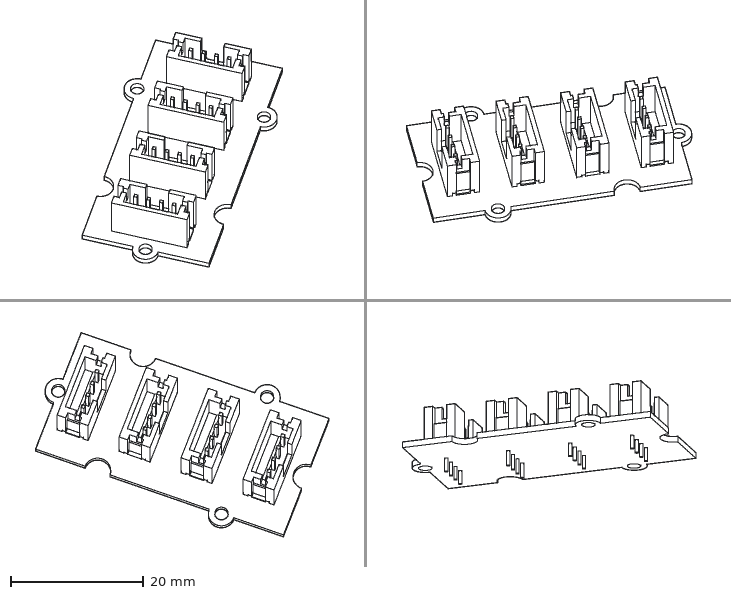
import cadquery as cq

OVERALL_WIDTH = 24.0
OVERALL_LENGTH = 42.0
BOARD_THICKNESS = 0.92
EAR_DIAMETER = 4.0
EAR_HOLE_DIAMETER = 2.0
NOTCH_DIAMETER = EAR_DIAMETER
BOARD_WIDTH = OVERALL_WIDTH - EAR_DIAMETER
BOARD_LENGTH = OVERALL_LENGTH - EAR_DIAMETER / 2
BOARD_BACK = BOARD_LENGTH / 2
GRID = 10.0

HOUSING_WIDTH = 11.93
HOUSING_DEPTH = 5.0
HOUSING_HEIGHT = 6.65
CONNECTOR_COUNT = 4
FIRST_CONNECTOR_INSET = 5.5
SUNK_CONNECTOR = 2
SINK_DEPTH = 0.25

WALL = 0.7
CAVITY_WIDTH = 8.55
CAVITY_DEPTH = HOUSING_DEPTH - 2 * WALL
BACK_FLOOR = 1.5
FLOOR_STEP = 0.55
FRONT_FLOOR = BACK_FLOOR - FLOOR_STEP

SLOT_WIDTH = 3.65
SLOT_FLOOR = 2.0

SIDE_NOTCH_BACK = 1.7
SIDE_NOTCH_FRONT = 2.48
SIDE_NOTCH_DEPTH = 1.9
GROOVE_BACK = 1.4
GROOVE_FRONT = 3.6
GROOVE_INSET = 0.65
UPPER_GROOVE_INSET = 0.9
UPPER_GROOVE_DEPTH = 2.6
UNDERCUT_BACK = 0.8
UNDERCUT_FRONT = 4.2
UNDERCUT_HEIGHT = 0.5
TAB_HEIGHT = 0.25

CONTACT_COUNT = 4
CONTACT_PITCH = 2.0
PIN_SIZE = 0.5
PIN_SETBACK = 1.9
PIN_TOP_GAP = 0.92
LEG_DIAMETER = 0.5
LEG_LENGTH = 3.0


def block(x_range, y_range, z_range):
    """A box given by its lower and upper limits along each axis."""
    (x0, x1), (y0, y1), (z0, z1) = x_range, y_range, z_range
    return cq.Workplane("XY").box(x1 - x0, y1 - y0, z1 - z0, centered=False).translate((x0, y0, z0))


def both_sides(shape):
    """The shape together with its mirror image in the YZ plane."""
    return shape.union(shape.mirror("YZ"))


def board_discs(points, diameter):
    """Upright discs as thick as the board."""
    return (
        cq.Workplane("XY")
        .pushPoints(points)
        .circle(diameter / 2)
        .extrude(-BOARD_THICKNESS)
    )


def make_board():
    side = BOARD_WIDTH / 2
    ear_y = BOARD_BACK - GRID
    notch_y = BOARD_BACK - 3 * GRID
    ear_points = [(-side, ear_y), (side, ear_y), (0, -BOARD_BACK)]
    notch_points = [(-side, notch_y), (side, notch_y), (0, BOARD_BACK)]
    plate = cq.Workplane("XY").rect(BOARD_WIDTH, BOARD_LENGTH).extrude(-BOARD_THICKNESS)
    return (
        plate.union(board_discs(ear_points, EAR_DIAMETER))
        .cut(board_discs(ear_points, EAR_HOLE_DIAMETER))
        .cut(board_discs(notch_points, NOTCH_DIAMETER))
    )


def from_back(back, front):
    """Y limits of a feature from its distances to the back face of the housing."""
    return (HOUSING_DEPTH / 2 - front, HOUSING_DEPTH / 2 - back)


def make_cavity():
    back = HOUSING_DEPTH / 2 - WALL
    front = back - CAVITY_DEPTH
    slope_top = HOUSING_DEPTH / 2 - SIDE_NOTCH_FRONT
    profile = [
        (back, HOUSING_HEIGHT),
        (back, BACK_FLOOR),
        (slope_top, BACK_FLOOR),
        (slope_top - FLOOR_STEP, FRONT_FLOOR),
        (front, FRONT_FLOOR),
        (front, HOUSING_HEIGHT),
    ]
    return cq.Workplane("YZ").polyline(profile).close().extrude(CAVITY_WIDTH / 2, both=True)


def make_back_slot():
    return block(
        (-SLOT_WIDTH / 2, SLOT_WIDTH / 2),
        from_back(0, WALL),
        (SLOT_FLOOR, HOUSING_HEIGHT),
    )


def make_side_cuts():
    """Notch, stepped groove and undercut of the +X side, with a tab left under the groove."""
    side = HOUSING_WIDTH / 2
    top = HOUSING_HEIGHT
    groove_y = from_back(GROOVE_BACK, GROOVE_FRONT)
    notch_y = from_back(SIDE_NOTCH_BACK, SIDE_NOTCH_FRONT)
    undercut_y = from_back(UNDERCUT_BACK, UNDERCUT_FRONT)
    notch = block((CAVITY_WIDTH / 2, side), notch_y, (top - SIDE_NOTCH_DEPTH, top))
    groove = block((side - GROOVE_INSET, side), groove_y, (TAB_HEIGHT, top))
    upper_groove = block((side - UPPER_GROOVE_INSET, side), groove_y, (top - UPPER_GROOVE_DEPTH, top))
    undercut = block((side - GROOVE_INSET, side), undercut_y, (0, UNDERCUT_HEIGHT))
    tab = block((side - GROOVE_INSET, side), groove_y, (0, TAB_HEIGHT))
    return notch.union(groove).union(upper_groove).union(undercut.cut(tab))


def make_contacts():
    first_x = -(CONTACT_COUNT - 1) * CONTACT_PITCH / 2
    xs = [first_x + i * CONTACT_PITCH for i in range(CONTACT_COUNT)]
    pin_y = HOUSING_DEPTH / 2 - PIN_SETBACK
    pins = (
        cq.Workplane("XY", origin=(0, 0, BACK_FLOOR))
        .pushPoints([(x, pin_y) for x in xs])
        .rect(PIN_SIZE, PIN_SIZE)
        .extrude(HOUSING_HEIGHT - PIN_TOP_GAP - BACK_FLOOR)
    )
    legs = (
        cq.Workplane("XY")
        .pushPoints([(x, 0) for x in xs])
        .circle(LEG_DIAMETER / 2)
        .extrude(-LEG_LENGTH)
    )
    return pins, legs


def make_connector():
    """One connector, centred in X and Y, with the underside of its housing at Z = 0."""
    pins, legs = make_contacts()
    housing = block(
        (-HOUSING_WIDTH / 2, HOUSING_WIDTH / 2),
        (-HOUSING_DEPTH / 2, HOUSING_DEPTH / 2),
        (0, HOUSING_HEIGHT),
    )
    return (
        housing.cut(make_cavity())
        .cut(make_back_slot())
        .cut(both_sides(make_side_cuts()))
        .union(pins)
        .union(legs)
    )


connectors = []
for index in range(CONNECTOR_COUNT):
    center_y = BOARD_BACK - FIRST_CONNECTOR_INSET - index * GRID
    base_z = -SINK_DEPTH if index == SUNK_CONNECTOR else 0
    connectors.append(make_connector().translate((0, center_y, base_z)))

board = make_board()
for connector in connectors:
    board = board.cut(connector)

result = cq.Compound.makeCompound([board.val(), *[connector.val() for connector in connectors]])